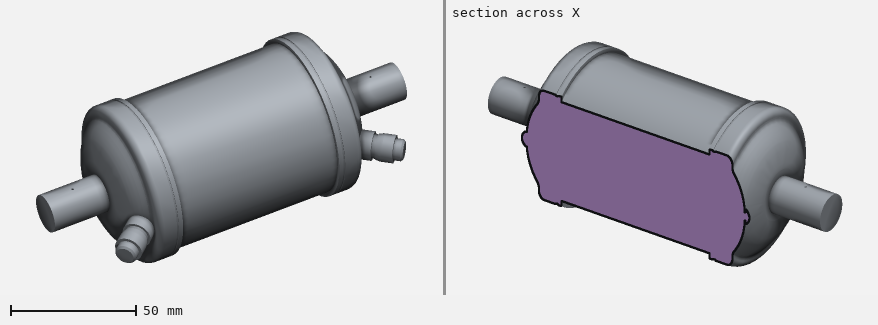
import cadquery as cq
import math

half_length = 80.0
dome_top = 55.2
dome_arc_end = 49.1
cap_top = 46.7
cap_bottom = 35.5

tube_radius = 8.0
shell_radius = 31.7
cap_radius = 33.52
cap_round = 2.9
dome_flat_radius = 11.0
dome_arc_end_radius = 26.4
dome_foot_tangent = 1.0

rim_width = 2.0
groove_width = 0.8
groove_depth = 0.3

dimple_position = 67.7
dimple_diameter = 1.0
dimple_depth = 0.8

fitting_angle = 40.0
fitting_base_x = 24.8
fitting_base_y = 49.8
collar_radius = 6.0
collar_length = 5.3
neck_radius = 5.0
neck_length = 1.6
barrel_radius = 5.8
barrel_length = 7.2
barrel_curve_length = 2.7
barrel_taper = 0.5
tip_radius = 4.5
tip_length = 3.8
tip_chamfer = 0.8


def arc_middle(center, radius, start_angle, end_angle):
    """Return the point halfway along an arc, with angles in radians."""
    angle = (start_angle + end_angle) / 2
    return (center[0] + radius * math.cos(angle), center[1] + radius * math.sin(angle))


def make_end():
    """Revolve the cap, dome and tube of the +Y end about the Y axis."""
    dome_run = dome_arc_end_radius - dome_flat_radius
    dome_drop = dome_top - dome_arc_end
    dome_arc_radius = (dome_run**2 + dome_drop**2) / (2 * dome_drop)
    dome_center = (dome_flat_radius, dome_top - dome_arc_radius)
    dome_end_angle = math.acos(dome_run / dome_arc_radius)
    dome_middle = arc_middle(dome_center, dome_arc_radius, dome_end_angle, math.pi / 2)

    cone_corner_radius = dome_arc_end_radius + (dome_arc_end - cap_top) * math.tan(dome_end_angle)
    fillet_turn = math.pi / 2 - dome_end_angle
    fillet_radius = dome_foot_tangent / math.tan(fillet_turn / 2)
    fillet_center = (cone_corner_radius + dome_foot_tangent, cap_top + fillet_radius)
    fillet_start_angle = -math.pi / 2
    fillet_end_angle = fillet_start_angle - fillet_turn
    fillet_middle = arc_middle(fillet_center, fillet_radius, fillet_start_angle, fillet_end_angle)
    fillet_end = (
        cone_corner_radius - dome_foot_tangent * math.sin(dome_end_angle),
        cap_top + dome_foot_tangent * math.cos(dome_end_angle),
    )

    round_center = (cap_radius - cap_round, cap_top - cap_round)
    round_middle = arc_middle(round_center, cap_round, 0, math.pi / 2)

    rim_top = cap_bottom + rim_width
    groove_top = rim_top + groove_width
    groove_radius = cap_radius - groove_depth

    return (
        cq.Workplane("XY")
        .moveTo(0, cap_bottom)
        .lineTo(cap_radius, cap_bottom)
        .lineTo(cap_radius, rim_top)
        .lineTo(groove_radius, rim_top)
        .lineTo(groove_radius, groove_top)
        .lineTo(cap_radius, groove_top)
        .lineTo(cap_radius, round_center[1])
        .threePointArc(round_middle, (round_center[0], cap_top))
        .lineTo(fillet_center[0], cap_top)
        .threePointArc(fillet_middle, fillet_end)
        .lineTo(dome_arc_end_radius, dome_arc_end)
        .threePointArc(dome_middle, (dome_flat_radius, dome_top))
        .lineTo(tube_radius, dome_top)
        .lineTo(tube_radius, half_length)
        .lineTo(0, half_length)
        .close()
        .revolve(360, (0, 0), (0, 1))
    )


def make_fitting():
    """Revolve the stepped valve fitting, then tilt it onto the dome."""
    neck_end = collar_length + neck_length
    barrel_end = neck_end + barrel_length
    tip_end = barrel_end + tip_length
    barrel_curve_middle = (barrel_radius - barrel_taper / 4, neck_end + barrel_curve_length / 2)
    fitting = (
        cq.Workplane("XY")
        .lineTo(collar_radius, 0)
        .lineTo(collar_radius, collar_length)
        .lineTo(neck_radius, collar_length)
        .lineTo(neck_radius, neck_end)
        .lineTo(barrel_radius - barrel_taper, neck_end)
        .threePointArc(barrel_curve_middle, (barrel_radius, neck_end + barrel_curve_length))
        .lineTo(barrel_radius, barrel_end)
        .lineTo(tip_radius, barrel_end)
        .lineTo(tip_radius, tip_end - tip_chamfer)
        .lineTo(tip_radius - tip_chamfer, tip_end)
        .lineTo(0, tip_end)
        .close()
        .revolve(360, (0, 0), (0, 1))
    )
    tilted = fitting.rotate((0, 0, 0), (0, 0, 1), -fitting_angle)
    return tilted.translate((fitting_base_x, fitting_base_y, 0))


def make_dimple():
    """Cutter that sinks the dimple into the top of the tube."""
    return (
        cq.Workplane("XY", origin=(0, dimple_position, tube_radius - dimple_depth))
        .circle(dimple_diameter / 2)
        .extrude(2 * dimple_depth)
    )


end = make_end().union(make_fitting()).cut(make_dimple())
shell = cq.Workplane("XZ").circle(shell_radius).extrude(cap_bottom, both=True)
result = shell.union(end).union(end.mirror("XZ"))